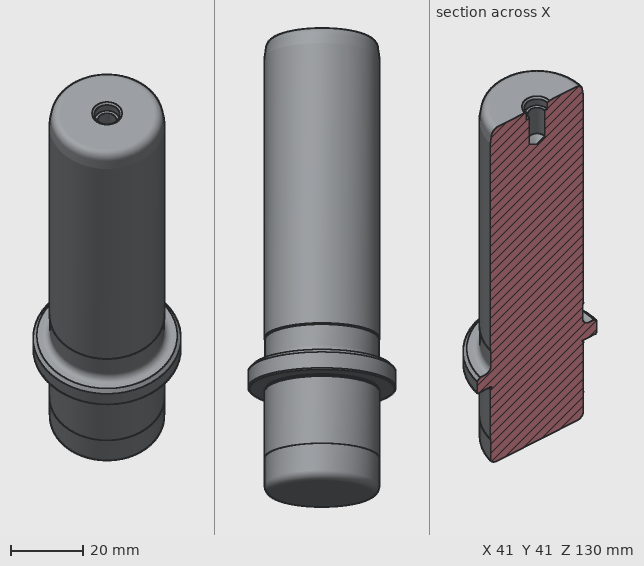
import cadquery as cq
import math

total_length = 130.0
shaft_radius = 16.0
top_round = 2.5
bottom_round = 2.2

tip_flat_radius = 13.1
taper_angle = math.radians(8)

neck_top = 44.6
neck_relief = 0.2
neck_radius = shaft_radius - neck_relief
neck_fillet = 2.1
neck_step_height = 0.4

collar_diameter = 41.0
collar_radius = collar_diameter / 2
collar_top = 36.0
collar_bottom = 30.0
collar_top_chamfer = 1.0
collar_bottom_chamfer = 0.4

undercut_depth = 0.4
undercut_width = 0.8
undercut_radius = shaft_radius - undercut_depth

lead_in_height = 10.0
lead_in_relief = 0.06
lead_in_radius = shaft_radius - lead_in_relief

hole_mouth_radius = 4.2
mouth_chamfer_depth = 0.5
bore_radius = 3.5
bore_depth = 3.0
drill_radius = 2.6
drill_depth = 13.0
drill_point_half_angle = math.radians(59)


def arc_point(centre_r, centre_z, radius, angle):
    """Point in the radial plane at an angle on an arc."""
    return (centre_r + radius * math.cos(angle), centre_z + radius * math.sin(angle))


def make_body():
    """Revolve the outer outline, from the bottom axis point to the top axis point."""
    bottom_centre_r = lead_in_radius - bottom_round
    tip_centre_z = total_length - top_round
    taper_start = arc_point(tip_flat_radius, tip_centre_z, top_round, taper_angle)
    tip_mid_angle = (taper_angle + math.pi / 2) / 2
    taper_base_z = taper_start[1] - (shaft_radius - taper_start[0]) / math.tan(taper_angle)
    fillet_centre_r = neck_radius + neck_fillet
    fillet_centre_z = collar_top + neck_fillet

    outline = (
        cq.Workplane("XZ")
        .moveTo(0, 0)
        .lineTo(bottom_centre_r, 0)
        .threePointArc(
            arc_point(bottom_centre_r, bottom_round, bottom_round, -math.pi / 4),
            (lead_in_radius, bottom_round),
        )
        .lineTo(lead_in_radius, lead_in_height)
        .lineTo(shaft_radius, lead_in_height)
        .lineTo(shaft_radius, collar_bottom - undercut_width)
        .lineTo(undercut_radius, collar_bottom - undercut_width + undercut_depth)
        .lineTo(undercut_radius, collar_bottom)
        .lineTo(collar_radius - collar_bottom_chamfer, collar_bottom)
        .lineTo(collar_radius, collar_bottom + collar_bottom_chamfer)
        .lineTo(collar_radius, collar_top - collar_top_chamfer)
        .lineTo(collar_radius - collar_top_chamfer, collar_top)
        .lineTo(fillet_centre_r, collar_top)
        .threePointArc(
            arc_point(fillet_centre_r, fillet_centre_z, neck_fillet, -3 * math.pi / 4),
            (neck_radius, fillet_centre_z),
        )
        .lineTo(neck_radius, neck_top - neck_step_height)
        .lineTo(shaft_radius, neck_top)
        .lineTo(shaft_radius, taper_base_z)
        .lineTo(*taper_start)
        .threePointArc(
            arc_point(tip_flat_radius, tip_centre_z, top_round, tip_mid_angle),
            (tip_flat_radius, total_length),
        )
        .lineTo(0, total_length)
        .close()
    )
    return outline.revolve(360, (0, 0, 0), (0, 1, 0))


def make_centre_hole():
    """Revolve the chamfered bore, the narrower drill hole and its conical point."""
    drill_end_z = total_length - drill_depth
    point_height = drill_radius / math.tan(drill_point_half_angle)
    return (
        cq.Workplane("XZ")
        .moveTo(0, total_length)
        .lineTo(hole_mouth_radius, total_length)
        .lineTo(bore_radius, total_length - mouth_chamfer_depth)
        .lineTo(bore_radius, total_length - bore_depth)
        .lineTo(drill_radius, total_length - bore_depth)
        .lineTo(drill_radius, drill_end_z)
        .lineTo(0, drill_end_z - point_height)
        .close()
        .revolve(360, (0, 0, 0), (0, 1, 0))
    )


result = make_body().cut(make_centre_hole())